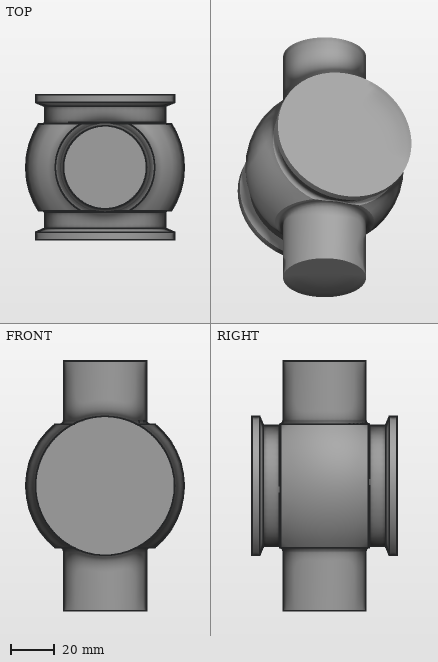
import cadquery as cq

sphere_radius = 36.5
body_half_height = 28.4
body_half_depth = 20.0

pipe_radius = 19.1
pipe_half_length = 57.5
pipe_root_fillet = 1.5

neck_radius = 27.8
neck_root_fillet = 0.7
flange_radius = 32.0
flange_half_span = 33.42
rim_thickness = 3.6
flange_cone_length = 1.7


def make_body():
    """Ball trimmed flat on its top, bottom, front and back."""
    flats = cq.Workplane("XY").box(
        2 * sphere_radius, 2 * body_half_depth, 2 * body_half_height
    )
    return cq.Workplane("XY").sphere(sphere_radius).intersect(flats)


def make_pipe():
    """Upper pipe from the body centre, flared by a concave fillet at the flat."""
    fillet_top = body_half_height + pipe_root_fillet
    flare_radius = pipe_radius + pipe_root_fillet
    return (
        cq.Workplane("XZ")
        .lineTo(flare_radius, 0)
        .lineTo(flare_radius, body_half_height)
        .radiusArc((pipe_radius, fillet_top), pipe_root_fillet)
        .lineTo(pipe_radius, pipe_half_length)
        .lineTo(0, pipe_half_length)
        .close()
        .revolve(360, (0, 0, 0), (0, 1, 0))
    )


def make_flanged_neck():
    """Neck on the +Y side: root fillet, cone-backed flange and plain end."""
    fillet_end = body_half_depth + neck_root_fillet
    flare_radius = neck_radius + neck_root_fillet
    rim_start = flange_half_span - rim_thickness
    cone_start = rim_start - flange_cone_length
    return (
        cq.Workplane("XY")
        .moveTo(0, body_half_depth)
        .lineTo(flare_radius, body_half_depth)
        .radiusArc((neck_radius, fillet_end), neck_root_fillet)
        .lineTo(neck_radius, cone_start)
        .lineTo(flange_radius, rim_start)
        .lineTo(flange_radius, flange_half_span)
        .lineTo(0, flange_half_span)
        .close()
        .revolve(360, (0, 0, 0), (0, 1, 0))
    )


upper_pipe = make_pipe()
back_neck = make_flanged_neck()
result = (
    make_body()
    .union(upper_pipe)
    .union(upper_pipe.mirror("XY"))
    .union(back_neck)
    .union(back_neck.mirror("XZ"))
)